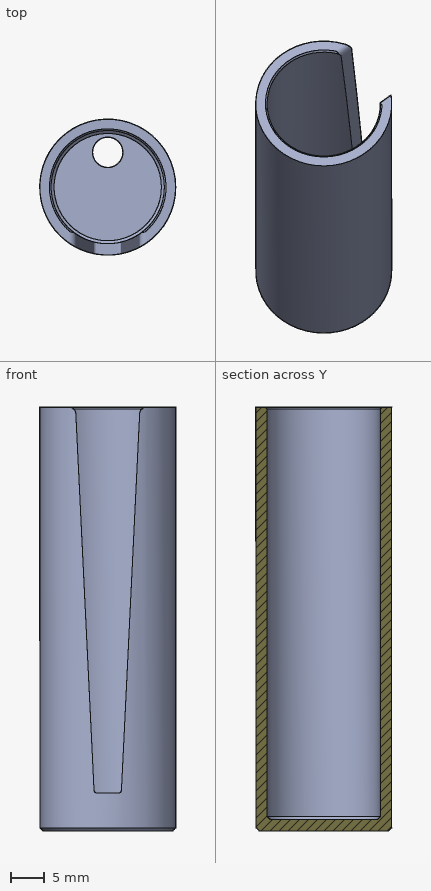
import cadquery as cq

length = 63.2
outer_diameter = 20.3
bore_diameter = 16.9
floor_thickness = 1.8
base_chamfer = 0.5
mouth_chamfer = 0.25
floor_chamfer = 0.45

slot_bottom = 5.7
slot_bottom_width = 4.05
slot_top_width = 9.6
slot_bottom_fillet = 0.45
slot_mouth_fillet = 1.0

hole_diameter = 4.5
hole_offset = 5.2

outer_radius = outer_diameter / 2
bore_radius = bore_diameter / 2


def make_body():
    return cq.Workplane("XY").circle(outer_radius).extrude(length).faces("<Z").chamfer(base_chamfer)


def make_bore():
    """Blind bore with a chamfered floor corner."""
    return (
        cq.Workplane("XY")
        .workplane(offset=floor_thickness)
        .circle(bore_radius)
        .extrude(length - floor_thickness)
        .faces("<Z")
        .edges()
        .chamfer(floor_chamfer)
    )


def cut_slot(body):
    """Cut the slot widening towards the mouth, then round its corners."""
    half_bottom = slot_bottom_width / 2
    half_top = slot_top_width / 2
    slot = (
        cq.Workplane("XZ")
        .moveTo(-half_bottom, slot_bottom)
        .lineTo(half_bottom, slot_bottom)
        .lineTo(half_top, length)
        .lineTo(-half_top, length)
        .close()
        .extrude(outer_diameter)
        .edges("|Y and <Z")
        .fillet(slot_bottom_fillet)
    )
    slotted = body.cut(slot)
    corner_reach = 0.05
    mouth_corners = cq.selectors.BoxSelector(
        (-half_top - corner_reach, -outer_radius, length - corner_reach),
        (half_top + corner_reach, 0, length + corner_reach),
    )
    return slotted.edges("|Y").edges(mouth_corners).fillet(slot_mouth_fillet)


def make_mouth_flare():
    """Cone that chamfers the inner edge of the open end."""
    return (
        cq.Workplane("XY")
        .workplane(offset=length)
        .circle(bore_radius + mouth_chamfer)
        .workplane(offset=-mouth_chamfer)
        .circle(bore_radius)
        .loft()
    )


def make_floor_hole():
    return cq.Workplane("XY").center(0, hole_offset).circle(hole_diameter / 2).extrude(floor_thickness)


tube = cut_slot(make_body().cut(make_bore()))
result = tube.cut(make_mouth_flare()).cut(make_floor_hole())